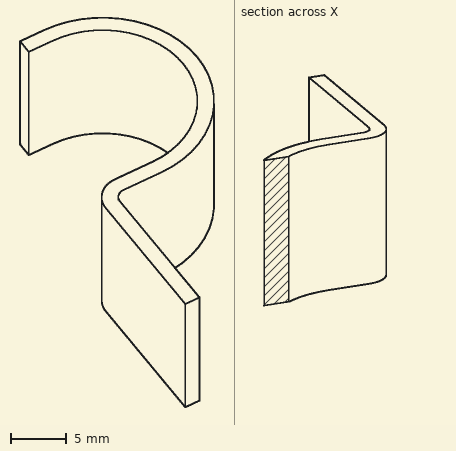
import cadquery as cq
import math

strip_width = 14.0
thickness = 1.5
loop_outer_radius = 10.0
free_leg_length = 2.5
flange_leg_length = 4.0
bend_inner_radius = 1.0
flange_length = 13.5

loop_inner_radius = loop_outer_radius - thickness
bend_outer_radius = bend_inner_radius + thickness
bend_center_x = loop_outer_radius + bend_inner_radius
bend_center_y = -flange_leg_length
flange_end_x = bend_center_x + flange_length
flange_inner_y = bend_center_y - bend_inner_radius
flange_outer_y = bend_center_y - bend_outer_radius


def bend_midpoint(radius):
    """Point halfway round the quarter-circle bend at the given radius."""
    offset = radius * math.sqrt(0.5)
    return (bend_center_x - offset, bend_center_y - offset)


def clip_profile():
    """Closed outline of the bent strip in the XY plane."""
    return (
        cq.Workplane("XY")
        .moveTo(-loop_outer_radius, -free_leg_length)
        .lineTo(-loop_outer_radius, 0)
        .threePointArc((0, loop_outer_radius), (loop_outer_radius, 0))
        .lineTo(loop_outer_radius, bend_center_y)
        .threePointArc(bend_midpoint(bend_inner_radius), (bend_center_x, flange_inner_y))
        .lineTo(flange_end_x, flange_inner_y)
        .lineTo(flange_end_x, flange_outer_y)
        .lineTo(bend_center_x, flange_outer_y)
        .threePointArc(bend_midpoint(bend_outer_radius), (loop_inner_radius, bend_center_y))
        .lineTo(loop_inner_radius, 0)
        .threePointArc((0, loop_inner_radius), (-loop_inner_radius, 0))
        .lineTo(-loop_inner_radius, -free_leg_length)
        .close()
    )


result = clip_profile().extrude(strip_width)